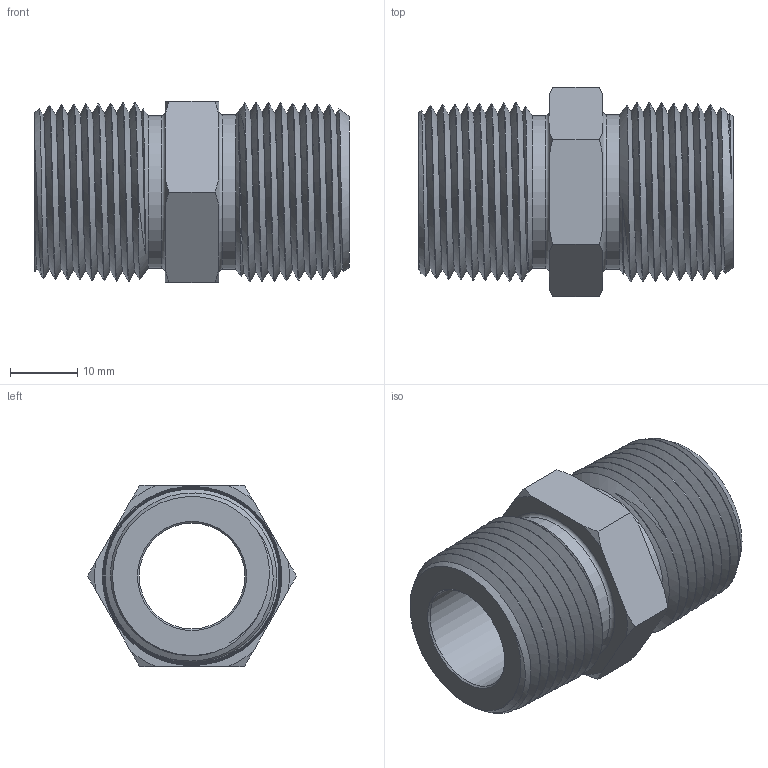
import cadquery as cq
import math

hex_width = 8.0
hex_across_flats = 26.9
hex_bevel_length = 0.55
hex_face_radius = 14.45

end_length = 19.35
total_length = 2 * end_length + hex_width
neck_length = 2.5
neck_fillet = 0.5
end_bevel_slope = 0.75
neck_bevel_slope = 4 / 3

pitch = 25.4 / 14
flank_half_angle = math.radians(30)
radial_taper = 1 / 32
crest_flat = 0.06
root_flat = 0.05
groove_overlap = 0.04

left_neck_radius = 11.35
left_face_radius = 11.8
left_crest_radius = 12.84
left_groove_start = 0.81
right_neck_radius = 11.48
right_face_radius = 11.2
right_crest_radius = 12.9
right_groove_start = 0.69

bore_diameter = 15.7
bore_bevel = 0.25


def revolve_about_x(sketch):
    """Turn a closed XY outline about the X axis."""
    return sketch.revolve(360, (0, 0, 0), (1, 0, 0))


def end_blank(neck_radius, face_radius, crest_radius):
    """Unthreaded end from its face at X = 0 to the hexagon, with bevels, taper, neck and fillet."""
    face_bevel_length = (crest_radius - face_radius) / (end_bevel_slope - radial_taper)
    neck_start = end_length - neck_length
    crest_end = (neck_radius + neck_bevel_slope * neck_start - crest_radius) / (
        neck_bevel_slope + radial_taper
    )
    outline = (
        cq.Workplane("XY")
        .lineTo(0, face_radius)
        .lineTo(face_bevel_length, crest_radius + radial_taper * face_bevel_length)
        .lineTo(crest_end, crest_radius + radial_taper * crest_end)
        .lineTo(neck_start, neck_radius)
        .lineTo(end_length - neck_fillet, neck_radius)
        .radiusArc((end_length, neck_radius + neck_fillet), -neck_fillet)
        .lineTo(end_length, 0)
        .close()
    )
    return revolve_about_x(outline)


def thread_groove(crest_radius, groove_start):
    """Right-hand helical V cutter following the tapered crest cone past both ends of the thread."""
    crest_gap = pitch - crest_flat
    depth = (crest_gap - root_flat) / 2 / math.tan(flank_half_angle)
    cutter_start = groove_start - pitch
    cutter_length = math.ceil(end_length / pitch) * pitch
    root_radius = crest_radius - depth + radial_taper * cutter_start
    taper_angle = math.degrees(math.atan(radial_taper))
    helix = cq.Wire.makeHelix(pitch, cutter_length, root_radius, angle=taper_angle)

    outer_half_width = crest_gap / 2 + groove_overlap * math.tan(flank_half_angle)
    outer_radius = root_radius + depth + groove_overlap
    cutter = (
        cq.Workplane("XZ")
        .moveTo(root_radius, -root_flat / 2)
        .lineTo(outer_radius, -outer_half_width)
        .lineTo(outer_radius, outer_half_width)
        .lineTo(root_radius, root_flat / 2)
        .close()
        .sweep(cq.Workplane(obj=helix), isFrenet=True)
    )
    return cutter.rotate((0, 0, 0), (1, 1, 1), 120).translate((cutter_start, 0, 0))


def threaded_end(neck_radius, face_radius, crest_radius, groove_start):
    """Tapered pipe thread whose face lies at X = 0."""
    blank = end_blank(neck_radius, face_radius, crest_radius)
    return blank.cut(thread_groove(crest_radius, groove_start))


def hexagon():
    """Hexagon with flats on +Z and -Z and turned bevels on the corners of both faces."""
    across_corners = hex_across_flats / math.cos(math.pi / 6)
    prism = (
        cq.Workplane("YZ")
        .workplane(offset=end_length)
        .polygon(6, across_corners)
        .extrude(hex_width)
    )
    corner_radius = across_corners / 2
    hex_end = end_length + hex_width
    bevel_outline = (
        cq.Workplane("XY")
        .moveTo(end_length, 0)
        .lineTo(end_length, hex_face_radius)
        .lineTo(end_length + hex_bevel_length, corner_radius)
        .lineTo(hex_end - hex_bevel_length, corner_radius)
        .lineTo(hex_end, hex_face_radius)
        .lineTo(hex_end, 0)
        .close()
    )
    return prism.intersect(revolve_about_x(bevel_outline))


def bore():
    """Through bore with a small bevel at each mouth."""
    radius = bore_diameter / 2
    outline = (
        cq.Workplane("XY")
        .lineTo(0, radius + bore_bevel)
        .lineTo(bore_bevel, radius)
        .lineTo(total_length - bore_bevel, radius)
        .lineTo(total_length, radius + bore_bevel)
        .lineTo(total_length, 0)
        .close()
    )
    return revolve_about_x(outline)


left_end = threaded_end(left_neck_radius, left_face_radius, left_crest_radius, left_groove_start)
right_end = (
    threaded_end(right_neck_radius, right_face_radius, right_crest_radius, right_groove_start)
    .rotate((0, 0, 0), (0, 1, 0), 180)
    .translate((total_length, 0, 0))
)
result = hexagon().union(left_end).union(right_end).cut(bore())